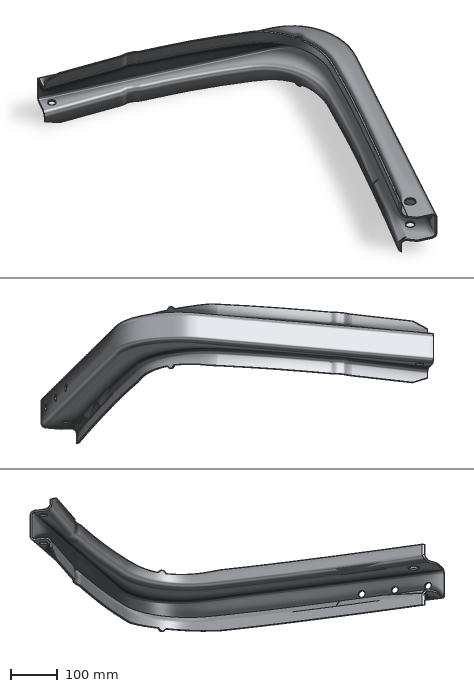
import cadquery as cq
import math


length_x = 694.0
length_y = 669.0
height = 137.0
sheet = 4.0

channel_height = 68.0
bend_radius = 12.0
flare_radius = 12.0
corner_radius = 144.0
flange_top = channel_height / 2
lip_top = height / 2

foot = (34.0, -length_y)
notch_foot_end = (20.0, -498.5)
notch_foot_bend = (17.5, -486.5)
notch_bottom_low = (15.0, -477.0)
notch_bottom_high = (15.0, -466.0)
notch_head_bend = (17.5, -452.0)
notch_head_end = (18.0, -447.0)
taper_start = (18.0, -402.5)
corner_low = (31.0, -199.0)
corner_high = (183.0, -58.0)
long_leg_crest = (375, -54.0)
long_leg_end = (length_x, -63.0)

foot_overrun = 7.0
corner_dip_depth = 6.0
corner_dip_half_span = 97.0
nub_offset = -14.0
nub_base = 18.0
nub_tip = 7.0
foot_trim_length = 33.0
foot_trim_height = 14.0
end_trim_start = (length_x, -44.5)
end_trim_knee = (682.0, -69.0)
end_trim_finish = (663.0, -80.5)

web_hole_diameter = 15.0
web_hole_first_x = 507.0
web_hole_pitch = 76.0
web_hole_count = 3
foot_hole_diameter = 17.5
foot_hole_center = (21.5, -644.0)
end_hole_center = (640.0, -42.0)
end_hole_top_diameter = 24.0
end_hole_bottom_diameter = 20.0


def circle_point(center, radius, degrees):
    """Point on a circle, used as the middle or end of an arc."""
    angle = math.radians(degrees)
    return (center[0] + radius * math.cos(angle), center[1] + radius * math.sin(angle))


def make_channel_bends():
    """Web with its two bends, swept around the L."""
    straight_z = flange_top - bend_radius
    inner_radius = bend_radius - sheet
    top = (0, straight_z)
    bottom = (0, -straight_z)
    path = (
        cq.Workplane("XY")
        .moveTo(bend_radius, -length_y)
        .lineTo(bend_radius, -corner_radius)
        .radiusArc((corner_radius, -bend_radius), corner_radius - bend_radius)
        .lineTo(length_x, -bend_radius)
    )
    section = (
        cq.Workplane("XZ", origin=(bend_radius, -length_y, 0))
        .moveTo(0, flange_top)
        .threePointArc(circle_point(top, bend_radius, 135), circle_point(top, bend_radius, 180))
        .lineTo(-bend_radius, -straight_z)
        .threePointArc(circle_point(bottom, bend_radius, 225), circle_point(bottom, bend_radius, 270))
        .lineTo(0, sheet - flange_top)
        .threePointArc(circle_point(bottom, inner_radius, 225), circle_point(bottom, inner_radius, 180))
        .lineTo(-inner_radius, straight_z)
        .threePointArc(circle_point(top, inner_radius, 135), circle_point(top, inner_radius, 90))
        .close()
    )
    return section.sweep(path)


def draw_flange_edge(sketch):
    """Continue a wire along the flat flange's inner edge, from the foot to the end of the long leg."""
    return (
        sketch.lineTo(*notch_foot_end)
        .tangentArcPoint(notch_foot_bend, relative=False)
        .tangentArcPoint(notch_bottom_low, relative=False)
        .lineTo(*notch_bottom_high)
        .tangentArcPoint(notch_head_bend, relative=False)
        .tangentArcPoint(notch_head_end, relative=False)
        .lineTo(*taper_start)
        .tangentArcPoint(corner_low, relative=False)
        .tangentArcPoint(corner_high, relative=False)
        .tangentArcPoint(long_leg_crest, relative=False)
        .tangentArcPoint(long_leg_end, relative=False)
    )


def make_flange():
    """Flat upper flange between the bend and the flare."""
    outline = draw_flange_edge(cq.Workplane("XY", origin=(0, 0, flange_top - sheet)).moveTo(*foot))
    return (
        outline
        .lineTo(length_x, -bend_radius)
        .lineTo(corner_radius, -bend_radius)
        .radiusArc((bend_radius, -corner_radius), -(corner_radius - bend_radius))
        .lineTo(bend_radius, -length_y)
        .close()
        .extrude(sheet)
    )


def make_lip():
    """Upper flare and lip, swept along the flange edge and cut square at the foot."""
    run = foot[0] - notch_foot_end[0]
    rise = notch_foot_end[1] - foot[1]
    start = (foot[0] + run * foot_overrun / rise, foot[1] - foot_overrun)
    path = draw_flange_edge(cq.Workplane("XY").moveTo(*start))
    plane = cq.Plane(origin=(*start, 0), xDir=(rise, run, 0), normal=(run, -rise, 0))
    center = (0, flange_top + flare_radius)
    outer_radius = flare_radius + sheet
    section = (
        cq.Workplane(plane)
        .moveTo(0, flange_top)
        .threePointArc(circle_point(center, flare_radius, 315), circle_point(center, flare_radius, 0))
        .lineTo(flare_radius, lip_top)
        .lineTo(outer_radius, lip_top)
        .lineTo(outer_radius, center[1])
        .threePointArc(circle_point(center, outer_radius, 315), circle_point(center, outer_radius, 270))
        .close()
    )
    envelope = cq.Workplane("XY", origin=(0, -length_y, 0)).box(length_x, length_y, lip_top, centered=False)
    return section.sweep(path).intersect(envelope)


def make_foot_trim():
    """Wedge that slants the lip's corner at the foot."""
    return (
        cq.Workplane("YZ")
        .moveTo(-length_y, lip_top)
        .lineTo(-length_y, lip_top - foot_trim_height)
        .lineTo(foot_trim_length - length_y, lip_top)
        .close()
        .extrude(length_x / 2)
    )


def make_corner_dip():
    """Shallow hollow in the lip's top around the corner, with a nub left standing near the middle."""
    plane = cq.Plane(origin=(0, 0, lip_top), xDir=(1, 1, 0), normal=(1, -1, 0))
    reach = 2 * corner_radius
    dip = (
        cq.Workplane(plane)
        .moveTo(-corner_dip_half_span, 0)
        .threePointArc((0, -corner_dip_depth), (corner_dip_half_span, 0))
        .close()
        .extrude(reach)
    )
    nub = (
        cq.Workplane(plane)
        .center(nub_offset, 0)
        .moveTo(-nub_base / 2, -corner_dip_depth)
        .lineTo(-nub_tip / 2, 0)
        .lineTo(nub_tip / 2, 0)
        .lineTo(nub_base / 2, -corner_dip_depth)
        .close()
        .extrude(reach)
    )
    return dip.cut(nub)


def make_end_trim():
    """Cutter for the slanted, rounded end of the long leg's flange and lip."""
    return (
        cq.Workplane("XY")
        .moveTo(*end_trim_start)
        .lineTo(*end_trim_knee)
        .tangentArcPoint(end_trim_finish, relative=False)
        .lineTo(length_x, end_trim_finish[1])
        .close()
        .extrude(lip_top)
    )


def make_hole(center, diameter, depth):
    """Cylinder along Z from the middle plane."""
    return cq.Workplane("XY").center(*center).circle(diameter / 2).extrude(depth)


def make_web_holes():
    """Row of holes through the web of the long leg."""
    centers = [(web_hole_first_x + i * web_hole_pitch, 0) for i in range(web_hole_count)]
    return cq.Workplane("XZ").pushPoints(centers).circle(web_hole_diameter / 2).extrude(bend_radius)


upper_half = make_flange().union(make_lip())
upper_half = upper_half.cut(make_foot_trim()).cut(make_corner_dip()).cut(make_end_trim())
upper_half = upper_half.cut(make_hole(foot_hole_center, foot_hole_diameter, flange_top))
lower_half = upper_half.mirror("XY")

upper_half = upper_half.cut(make_hole(end_hole_center, end_hole_top_diameter, flange_top))
lower_half = lower_half.cut(make_hole(end_hole_center, end_hole_bottom_diameter, -flange_top))

result = make_channel_bends().cut(make_web_holes()).union(upper_half).union(lower_half)